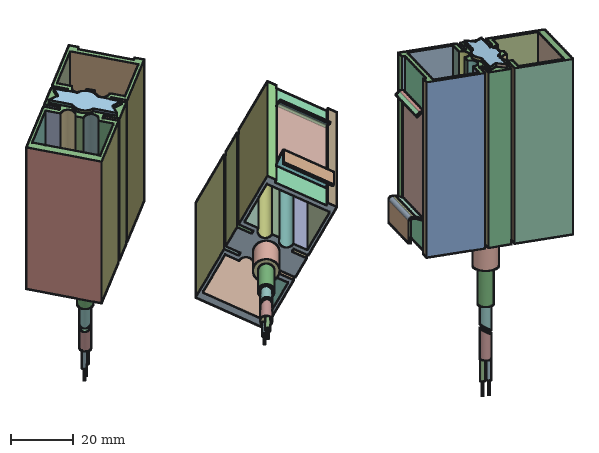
import cadquery as cq
import math

housing_width = 24.89
housing_depth = 50.0
housing_height = 61.1
side_wall = 1.2
end_wall = 2.7

web_half_thickness = 6.7
scallop_radius = 2.45
scallop_offset = 3.8
side_slot_length = 5.25
side_slot_width = 1.1
side_slot_offset = 4.5

channel_width = 18.4
channel_depth = 1.0

core_width = housing_width - 2 * side_wall
core_half_thickness = 2.9
core_bulge_radius = 4.6
core_notch_depth = 2.2
core_height = 1.2

clip_width = 17.8
clip_thickness = 0.7
clip_reach = 29.74
clip_curl_radius = 0.9
clip_curl_top = 49.6
clip_tip_angle = 38
clip_tip_length = 1.65
clip_foot_z = 11.6
clip_shoulder_y = 27.5
clip_shoulder_z = 12.95
clip_bend_radius = 0.9
clip_lower_end_z = 4.2

boss_diameter = 8.5
boss_length = 11.9
sleeve_diameter = 5.3
sleeve_length = 13.3
cable_diameter = 3.85
cable_length = 19.0
break_depth = 8.0
break_height = 1.4
break_angle = 30
insulation_diameter = 1.65
insulation_length = 7.6
conductor_diameter = 0.65
conductor_length = 5.28
wire_offset = 1.1

sleeve_top = -boss_length
cable_top = sleeve_top - sleeve_length
break_top = cable_top - break_depth
break_bottom = break_top - break_height
cable_bottom = cable_top - cable_length
insulation_bottom = cable_bottom - insulation_length


def rod(diameter, top, length, y=0):
    """Round bar hanging down from the level `top`."""
    return cq.Workplane("XY", origin=(0, y, top)).circle(diameter / 2).extrude(-length)


def make_extrusion():
    body = cq.Workplane("XY").rect(housing_width, housing_depth).extrude(housing_height)

    chamber_width = housing_width - 2 * side_wall
    chamber_depth = housing_depth / 2 - end_wall - web_half_thickness
    chamber_center = web_half_thickness + chamber_depth / 2
    chambers = (
        cq.Workplane("XY")
        .pushPoints([(0, chamber_center), (0, -chamber_center)])
        .rect(chamber_width, chamber_depth)
        .extrude(housing_height)
    )
    scallops = (
        cq.Workplane("XY")
        .rect(2 * scallop_offset, 2 * web_half_thickness, forConstruction=True)
        .vertices()
        .circle(scallop_radius)
        .extrude(housing_height)
    )
    side_slots = (
        cq.Workplane("XY")
        .rect(housing_width - side_slot_length, 2 * side_slot_offset, forConstruction=True)
        .vertices()
        .rect(side_slot_length, side_slot_width)
        .extrude(housing_height)
    )
    channel = (
        cq.Workplane("XY")
        .center(0, (housing_depth - channel_depth) / 2)
        .rect(channel_width, channel_depth)
        .extrude(housing_height)
    )
    return body.cut(chambers).cut(scallops).cut(side_slots).cut(channel)


def make_core():
    half_width = core_width / 2
    notch_x = half_width - core_notch_depth
    bow_tie = (
        cq.Workplane("XY", origin=(0, 0, housing_height))
        .polyline([
            (half_width, core_half_thickness),
            (-half_width, core_half_thickness),
            (-notch_x, 0),
            (-half_width, -core_half_thickness),
            (half_width, -core_half_thickness),
            (notch_x, 0),
        ])
        .close()
        .extrude(core_height)
    )
    bulge = rod(2 * core_bulge_radius, housing_height + core_height, core_height)
    return bow_tie.union(bulge)


def make_clip():
    strip_y = housing_depth / 2 - channel_depth + clip_thickness / 2
    leg_y = clip_reach - clip_thickness / 2

    tip_angle = math.radians(clip_tip_angle)
    curl_y = strip_y + clip_curl_radius
    curl_z = clip_curl_top - clip_thickness / 2 - clip_curl_radius
    curl_end = (
        curl_y + clip_curl_radius * math.sin(tip_angle),
        curl_z + clip_curl_radius * math.cos(tip_angle),
    )
    tip = (
        curl_end[0] + clip_tip_length * math.cos(tip_angle),
        curl_end[1] - clip_tip_length * math.sin(tip_angle),
    )

    bend_mid_inset = clip_bend_radius * (1 - math.cos(math.radians(45)))
    bend_mid = (leg_y - bend_mid_inset, clip_shoulder_z - bend_mid_inset)
    centreline = (
        cq.Workplane("YZ")
        .moveTo(leg_y, clip_lower_end_z)
        .lineTo(leg_y, clip_shoulder_z - clip_bend_radius)
        .threePointArc(bend_mid, (leg_y - clip_bend_radius, clip_shoulder_z))
        .lineTo(clip_shoulder_y, clip_shoulder_z)
        .lineTo(strip_y, clip_foot_z)
        .lineTo(strip_y, curl_z)
        .threePointArc((curl_y, curl_z + clip_curl_radius), curl_end)
        .lineTo(*tip)
    )
    return (
        cq.Workplane("XY", origin=(0, leg_y, clip_lower_end_z))
        .rect(clip_width, clip_thickness)
        .sweep(centreline, transition="right")
    )


def make_below_slope(level):
    """Block filling the space under a slanted plane that crosses the cable axis at `level`."""
    size = 4 * cable_diameter
    return (
        cq.Workplane("XY")
        .box(size, size, size, centered=(True, True, False))
        .translate((0, 0, -size))
        .rotate((0, 0, 0), (1, 0, 0), break_angle)
        .translate((0, 0, level))
    )


def make_housing():
    upper_cable = rod(cable_diameter, cable_top, cable_length).cut(make_below_slope(break_top))
    return (
        make_extrusion()
        .union(make_core())
        .union(make_clip())
        .union(rod(boss_diameter, 0, boss_length))
        .union(rod(sleeve_diameter, sleeve_top, sleeve_length))
        .union(upper_cable)
    )


def make_cable_end():
    cable = rod(cable_diameter, cable_top, cable_length).intersect(make_below_slope(break_bottom))
    for y in (-wire_offset, wire_offset):
        cable = cable.union(rod(insulation_diameter, cable_bottom, insulation_length, y))
        cable = cable.union(rod(conductor_diameter, insulation_bottom, conductor_length, y))
    return cable


housing = make_housing()
cable_end = make_cable_end()

result = cq.Compound.makeCompound([housing.solids().val(), cable_end.solids().val()])